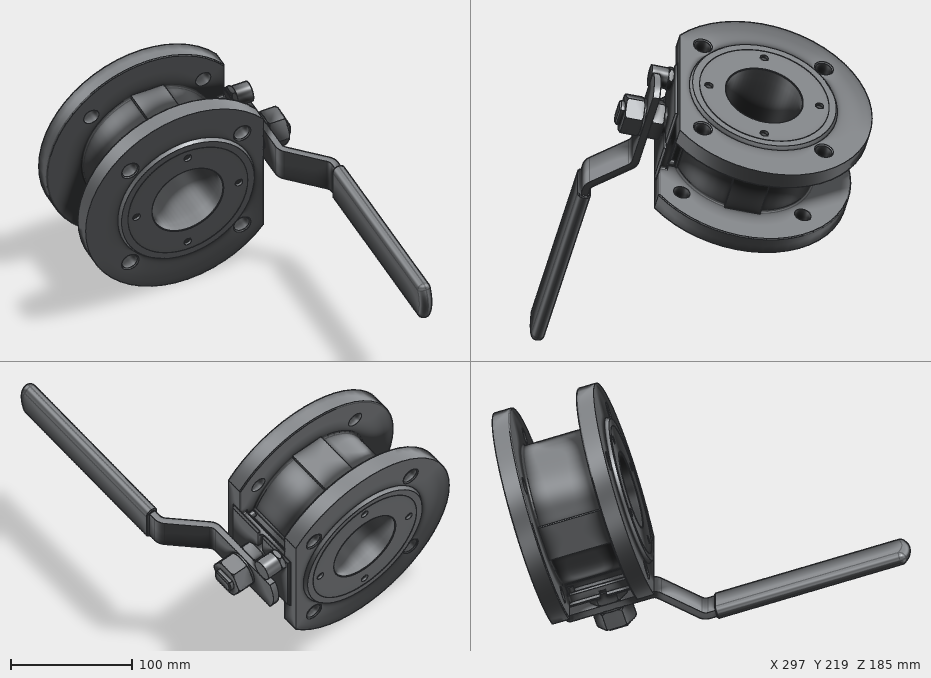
import cadquery as cq
import math


flange_diameter = 185.0
flange_span = 88.0
flange_thickness = 15.0
flange_edge_round = 1.0
flat_height = 71.0
part_depth = 219.0
raised_face_diameter = 126.0
raised_face_height = 3.3
raised_face_taper = 30
bore_diameter = 65.0
bore_chamfer = 0.5
barrel_diameter = 119.0
barrel_fillet = 1.8
flange_gap = flange_span - 2 * flange_thickness
face_to_face = flange_span + 2 * raised_face_height

bolt_circle_diameter = 145.5
bolt_hole_diameter = 14.0
bolt_hole_chamfer = 1.05
seat_ring_diameter = 110.0
seat_ring_recess = 0.3
key_hole_circle_diameter = 94.0
key_hole_diameter = 6.8
key_hole_depth = 3.0

name_plate_width = 30.3
name_plate_level = 60.5

boss_width = 41.5
boss_foot_height = 57.0
boss_foot_flare = 1.8
rim_width = 50.5
rim_underside = 63.5
rim_bevel = 1.5
rim_fillet = 1.8
relief_bevel = 2.0
lug_diameter = 6.0
lug_bottom = 58.8
lug_offset = 25.2
cover_length = 74.8
cover_width = 63.5
cover_thickness = 2.0
cover_chamfer = 1.8
cover_top = flat_height + cover_thickness
notch_width = 5.5
notch_floor = 68.5

collar_diameter = 24.0
stem_diameter = 20.0
stem_flat_width = 12.0
stem_top = 113.5
stem_chamfer = 1.2
nut_across_flats = 29.7
lower_nut_base = 76.0
upper_nut_top = 109.0
washer_diameter = 31.0
washer_thickness = 1.8
nut_chamfer = 1.2

pin_diameter = 17.5
pin_x = -25.0
pin_z = 24.5
pin_nut_height = 4.5
pin_nut_chamfer = 1.2

lever_thickness = 5.5
lever_width = 31.0
lever_base = 86.0
lever_tail_x = -40.5
lever_tail_radius = 28.2
crank_start_x = 39.5
crank_bend_radius = 9.8
grip_start_x = 82.0
grip_end_x = 249.7
grip_width = 36.5
grip_thickness = 11.0
grip_edge_round = 5.3
grip_corner_round = 5.5
grip_end_radius = 34.0
grip_mouth_chamfer = 1.0
lever_top = lever_base + lever_thickness
lower_run_y = lever_base + lever_thickness / 2
grip_top = part_depth - flange_diameter / 2
upper_run_y = grip_top - grip_thickness / 2
crank_rise = upper_run_y - lower_run_y


def disc_x(diameter, start, length):
    """Cylinder on the bore axis, running in +X from `start`."""
    return cq.Workplane("YZ", origin=(start, 0, 0)).circle(diameter / 2).extrude(length)


def up_from(level, x=0, z=0):
    """Workplane whose normal is +Y, at height `level` on the axis through (x, z)."""
    return cq.Workplane("XZ", origin=(x, level, z)).transformed(rotate=(180, 0, 0))


def rod_y(diameter, start, end, x=0, z=0):
    """Cylinder parallel to the stem axis."""
    return up_from(start, x, z).circle(diameter / 2).extrude(end - start)


def block(length, bottom, top, width):
    """Box centred on the stem axis, between two heights."""
    return cq.Workplane("XY").box(length, top - bottom, width).translate((0, (bottom + top) / 2, 0))


def hex_nut(across_flats, chamfer, start, end, x=0, z=0):
    """Hexagon with corners on X and both its ends bevelled."""
    corner_diameter = across_flats / math.cos(math.pi / 6)
    hexagon = up_from(start, x, z).polygon(6, corner_diameter).extrude(end - start)
    bevel = rod_y(corner_diameter, start, end, x, z).faces("<Y or >Y").chamfer(chamfer)
    return hexagon.intersect(bevel)


def double_d(start, end):
    """Stem section: a cylinder with two flats that face +Z and -Z."""
    stem = rod_y(stem_diameter, start, end)
    return stem.intersect(block(stem_diameter, start, end, stem_flat_width))


def flange(start):
    """Round flange with a flat on its +Y side."""
    disc = disc_x(flange_diameter, start, flange_thickness)
    keep_height = flat_height + flange_diameter / 2
    keep = cq.Workplane("XY").box(2 * flange_span, keep_height, flange_diameter)
    disc = disc.intersect(keep.translate((0, flat_height - keep_height / 2, 0)))
    inner_face = ">X" if start < 0 else "<X"
    return disc.faces(inner_face).edges().fillet(flange_edge_round)


def barrel():
    """Barrel between the flanges, flared by a fillet at both ends."""
    half_gap = flange_gap / 2
    radius = barrel_diameter / 2
    flare = radius + barrel_fillet
    sag = barrel_fillet * (1 - math.sqrt(0.5))
    profile = (
        cq.Workplane("XY")
        .moveTo(-half_gap, 0)
        .lineTo(-half_gap, flare)
        .threePointArc((-half_gap + sag, radius + sag), (-half_gap + barrel_fillet, radius))
        .lineTo(half_gap - barrel_fillet, radius)
        .threePointArc((half_gap - sag, radius + sag), (half_gap, flare))
        .lineTo(half_gap, 0)
        .close()
    )
    return profile.revolve(360, (0, 0, 0), (1, 0, 0))


def raised_faces():
    """Conical sealing faces on the outer sides of both flanges."""
    face = (
        cq.Workplane("YZ", origin=(flange_span / 2, 0, 0))
        .circle(raised_face_diameter / 2)
        .extrude(raised_face_height, taper=raised_face_taper)
    )
    return face.union(face.mirror("YZ"))


def seat_cuts():
    """Shallow seat ring recess with four key holes, on both end faces."""
    half = face_to_face / 2
    key_holes = (
        cq.Workplane("YZ", origin=(-half, 0, 0))
        .polarArray(key_hole_circle_diameter / 2, 0, 360, 4)
        .circle(key_hole_diameter / 2)
        .extrude(key_hole_depth)
    )
    cuts = disc_x(seat_ring_diameter, -half, seat_ring_recess).union(key_holes)
    return cuts.union(cuts.mirror("YZ"))


def chamfered_bore(diameter, length, chamfer):
    """Cutter along X for a through hole with a chamfer at both ends."""
    half = length / 2
    radius = diameter / 2
    profile = (
        cq.Workplane("XY")
        .moveTo(-half, 0)
        .lineTo(-half, radius + chamfer)
        .lineTo(-half + chamfer, radius)
        .lineTo(half - chamfer, radius)
        .lineTo(half, radius + chamfer)
        .lineTo(half, 0)
        .close()
    )
    return profile.revolve(360, (0, 0, 0), (1, 0, 0))


def main_bore():
    """Straight passage between the two seat ring recesses."""
    return chamfered_bore(bore_diameter, face_to_face - 2 * seat_ring_recess, bore_chamfer)


def bolt_holes():
    """Four holes through both flanges, chamfered at the outer flange faces."""
    hole = chamfered_bore(bolt_hole_diameter, flange_span, bolt_hole_chamfer)
    offset = bolt_circle_diameter / 2 * math.sqrt(0.5)
    places = [(y, z) for y in (-offset, offset) for z in (-offset, offset)]
    return [hole.translate((0, y, z)) for y, z in places]


def rim_corner_fillets():
    """Four concave fillets where the long sides of the rim meet the flanges."""
    strips = []
    for x_side in (-1, 1):
        for z_side in (-1, 1):
            center_x = x_side * (flange_gap / 2 - rim_fillet)
            center_z = z_side * (rim_width / 2 + rim_fillet)
            height = flat_height - rim_underside
            strip = cq.Workplane("XY").box(rim_fillet, height, rim_fillet)
            strip_x = center_x + x_side * rim_fillet / 2
            strip_z = center_z - z_side * rim_fillet / 2
            strip = strip.translate((strip_x, rim_underside + height / 2, strip_z))
            round_cut = rod_y(2 * rim_fillet, rim_underside, flat_height, center_x, center_z)
            strips.append(strip.cut(round_cut))
    return strips


def rim_relief():
    """45 degree bevels under the rim, between the lugs."""
    half = boss_width / 2
    profile = [
        (rim_underside - relief_bevel, -half),
        (rim_underside, -half - relief_bevel),
        (rim_underside, half + relief_bevel),
        (rim_underside - relief_bevel, half),
    ]
    half_length = lug_offset - lug_diameter / 2
    return cq.Workplane("YZ").polyline(profile).close().extrude(half_length, both=True)


def stem_boss():
    """Boss between the flanges, flared at its foot, with a bevelled rim and four round lugs."""
    boss = block(flange_gap, 0, flat_height, boss_width)
    foot = block(flange_gap, 0, boss_foot_height, boss_width + 2 * boss_foot_flare)
    foot = foot.faces(">Y").edges("|X").fillet(boss_foot_flare)
    rim = block(flange_gap, rim_underside, flat_height, rim_width)
    rim = rim.faces("<Y").edges("|X").chamfer(rim_bevel)
    boss = boss.union(foot).union(rim).union(rim_relief())
    for fillet in rim_corner_fillets():
        boss = boss.union(fillet)
    for x in (-lug_offset, lug_offset):
        for z in (-boss_width / 2, boss_width / 2):
            boss = boss.union(rod_y(lug_diameter, lug_bottom, rim_underside, x, z))
    return boss


def cover_plate():
    """Bevelled plate on the boss, under the collar of the stem."""
    return block(cover_length, flat_height, cover_top, cover_width).faces(">Y").chamfer(cover_chamfer)


def drain_notch():
    """Slot across the cover plate and the top of the boss."""
    return block(notch_width, notch_floor, cover_top, cover_width)


def stem_and_nuts():
    """Stem with its collar, the nuts that clamp the lever and the washer."""
    stem = double_d(0, stem_top).faces(">Y").chamfer(stem_chamfer)
    collar = rod_y(collar_diameter, 0, lower_nut_base)
    lower_nut = hex_nut(nut_across_flats, nut_chamfer, lower_nut_base, lever_base)
    washer_top = lever_top + washer_thickness
    washer = rod_y(washer_diameter, lever_top, washer_top)
    upper_nut = hex_nut(nut_across_flats, nut_chamfer, washer_top, upper_nut_top)
    return stem.union(collar).union(lower_nut).union(washer).union(upper_nut)


def stop_pin():
    """Round stop beside the lever, on a thin hexagonal nut."""
    place = (pin_x, pin_z)
    nut = hex_nut(pin_diameter, pin_nut_chamfer, cover_top, cover_top + pin_nut_height, *place)
    return nut.union(rod_y(pin_diameter, cover_top, lever_top, *place))


def make_housing():
    """Valve body with its stem, nuts and stop pin as one solid."""
    plates = block(flange_gap, -name_plate_width / 2, name_plate_width / 2, 2 * name_plate_level)
    housing = barrel().union(plates).union(raised_faces())
    housing = housing.union(flange(-flange_span / 2)).union(flange(flange_gap / 2))
    housing = housing.union(stem_boss()).union(cover_plate()).cut(drain_notch())
    housing = housing.union(stem_and_nuts()).union(stop_pin())
    housing = housing.cut(seat_cuts()).cut(main_bore())
    for hole in bolt_holes():
        housing = housing.cut(hole)
    return housing


def lever():
    """Flat bar with a 45 degree crank, a rounded tail and a hole that fits the stem."""
    half = lever_thickness / 2
    bend_shift = half * math.tan(math.pi / 8)
    crank_end_x = crank_start_x + crank_rise
    bar = (
        cq.Workplane("XY")
        .moveTo(lever_tail_x, lower_run_y - half)
        .lineTo(crank_start_x + bend_shift, lower_run_y - half)
        .lineTo(crank_end_x + bend_shift, upper_run_y - half)
        .lineTo(grip_start_x + grip_thickness, upper_run_y - half)
        .lineTo(grip_start_x + grip_thickness, upper_run_y + half)
        .lineTo(crank_end_x - bend_shift, upper_run_y + half)
        .lineTo(crank_start_x - bend_shift, lower_run_y + half)
        .lineTo(lever_tail_x, lower_run_y + half)
        .close()
        .extrude(lever_width / 2, both=True)
    )
    for x, y, inner_side in (
        (crank_start_x, lower_run_y, 1),
        (crank_end_x, upper_run_y, -1),
    ):
        shift = inner_side * bend_shift
        inner = cq.selectors.NearestToPointSelector((x - shift, y + inner_side * half, 0))
        outer = cq.selectors.NearestToPointSelector((x + shift, y - inner_side * half, 0))
        bar = bar.edges("|Z").edges(inner).fillet(crank_bend_radius - half)
        bar = bar.edges("|Z").edges(outer).fillet(crank_bend_radius + half)
    tail = rod_y(2 * lever_tail_radius, 0, stem_top, lever_tail_x + lever_tail_radius)
    rest = cq.Workplane("XY").box(grip_end_x, 2 * flange_diameter, lever_width)
    bar = bar.intersect(tail.union(rest.translate((grip_end_x / 2, 0, 0))))
    return bar.cut(double_d(lever_base, lever_top))


def grip():
    """Flat grip with rounded long edges and a bowed, rounded end."""
    half_width = grip_width / 2
    bow = grip_end_radius - math.sqrt(grip_end_radius**2 - half_width**2)
    shoulder_x = grip_end_x - bow
    slab = (
        up_from(upper_run_y - grip_thickness / 2)
        .moveTo(grip_start_x, -half_width)
        .lineTo(shoulder_x, -half_width)
        .threePointArc((grip_end_x, 0), (shoulder_x, half_width))
        .lineTo(grip_start_x, half_width)
        .close()
        .extrude(grip_thickness)
    )
    slab = slab.edges("|Y").edges(">X").fillet(grip_corner_round)
    slab = slab.faces("<Y or >Y").edges("not <X").fillet(grip_edge_round)
    return slab.faces("<X").chamfer(grip_mouth_chamfer)


housing = make_housing()
handle = lever().union(grip())
result = cq.Compound.makeCompound([housing.val(), handle.val()])